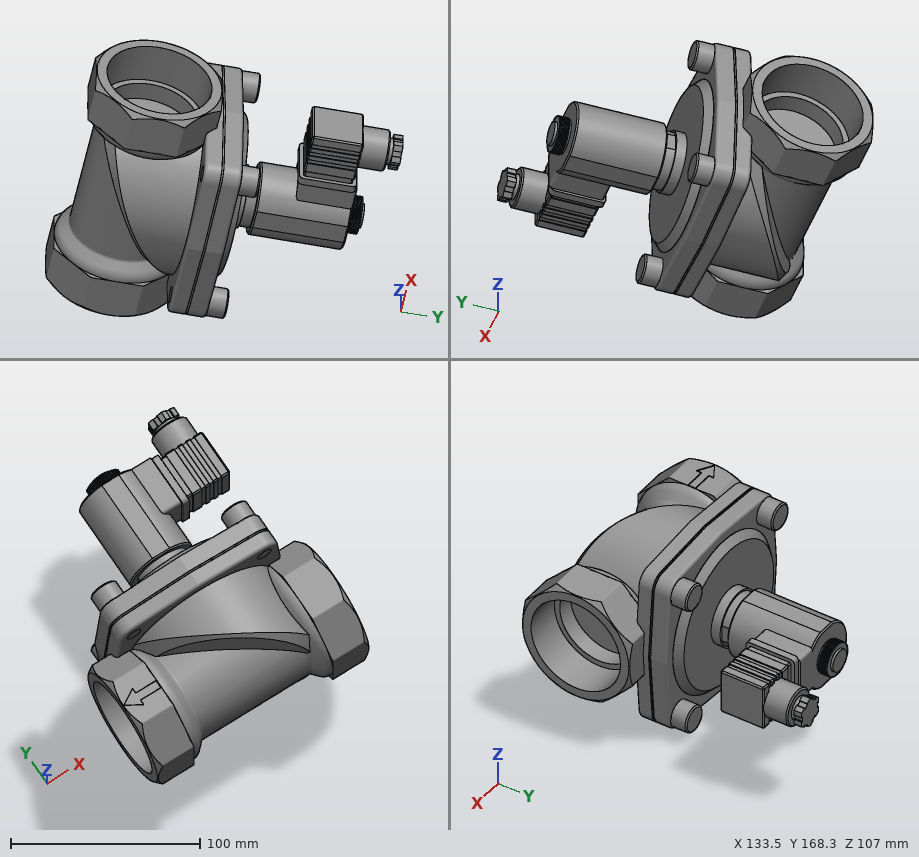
import cadquery as cq
import math

PIPE_LENGTH = 133.5
PIPE_DIAMETER = 55.2
OCTAGON_FLATS = 68.0
OCTAGON_SIDES = 8
OCTAGON_LENGTH = 22.9
OCTAGON_CORNER_RADIUS = 1.3
END_FACE_RADIUS = 33.7
END_CHAMFER = 5.0
SHOULDER_RADIUS = 7.0
HOLLOW_RADIUS = 1.7
DIAGONAL = math.sqrt(0.5)
THREAD_DIAMETER = 56.7
THREAD_DEPTH = 22.4
BORE_DIAMETER = 50.0
BORE_DEPTH = 32.7

ARROW_TIP_GAP = 0.7
ARROW_LENGTH = 21.9
ARROW_HEAD_LENGTH = 9.1
ARROW_HEAD_HALF = 5.4
ARROW_SHAFT_HALF = 2.4
ARROW_DEPTH = 0.5

CHAMBER_DIAMETER = 94.3
FLOOR_LEVEL = -2.9
FLOOR_ANGLE = 30.0
FLOOR_DIAMETER = 90.2

FLANGE_BOTTOM = 28.3
BODY_TOP = 37.4
COVER_BOTTOM = 38.4
COVER_TOP = 48.5
FLANGE_APEX = 53.5
FLANGE_CORNER = 49.5
FLANGE_CORNER_RADIUS = 9.3
FLANGE_EDGE_FILLET = 1.9
GASKET_INSET = 0.5

BOSS_DIAMETER = 94.3
BOSS_TOP = 52.9
BOSS_CHAMFER = 4.2
SCREW_OFFSET = 41.0
SCREW_DIAMETER = 8.5
HEAD_DIAMETER = 16.0
HEAD_TOP = 58.5
HEAD_CHAMFER = 0.8
COLLAR_DIAMETER = 34.0
COLLAR_TOP = 58.6
RING_DIAMETER = 31.8
RING_FLATS = 30.1

COIL_BOTTOM = 64.5
COIL_TOP = 115.2
COIL_DIAMETER = 38.9
COIL_FLATS = 37.4
COIL_CHAMFER = 0.8
SOCKET_END = 25.6
SOCKET_BOTTOM = 84.5
SOCKET_WIDTH = 27.8
SOCKET_FILLET = 1.9

NUT_DIAMETER = 20.2
NUT_ROOT_DIAMETER = 19.5
NUT_TEETH = 60
NUT_NECK_DIAMETER = 19.2
NUT_BOTTOM = 116.2
NUT_TOP = 121.7
STUB_DIAMETER = 13.1
STUB_TOP = 123.2

PLUG_LEVEL = 98.7
SEAL_END = 29.6
SEAL_SIZE = 30.8
SEAL_FILLET = 2.5
PLUG_NECK_END = 33.2
PLUG_NECK_SIZE = 26.3
PLUG_END = 56.5
PLUG_SIZE = 27.6
PLUG_EDGE = 0.8
GROOVE_START = 38.7
GROOVE_WIDTH = 2.5
GROOVE_PITCH = 5.0
GROOVE_COUNT = 3
GROOVE_DEPTH = 0.7

GLAND_X = 45.1
GLAND_DIAMETER = 22.2
GLAND_TOP = 127.1
GLAND_CHAMFER = 0.8
GLAND_NECK_DIAMETER = 14.1
CAP_BOTTOM = 129.5
CAP_TOP = 134.3
CAP_SIDES = 6
CAP_FLATS = 16.2
CAP_NOTCH_WIDTH = 2.9
CAP_NOTCH_DEPTH = 0.8


def level(height):
    """Workplane across Y at a height, with local axes X and Z; a negative extrusion goes up."""
    return cq.Workplane("XZ", origin=(0, height, 0))


def cylinder(diameter, bottom, top, x=0, z=0):
    return level(bottom).center(x, z).circle(diameter / 2).extrude(bottom - top)


def flatted_cylinder(diameter, bottom, top, flats_x, flats_z):
    block = level(bottom).rect(flats_x, flats_z).extrude(bottom - top)
    return cylinder(diameter, bottom, top).intersect(block)


def is_flange_corner(edge):
    """True for an upright edge at a corner, which lies off both the X axis and the Z axis."""
    halfway = FLANGE_CORNER / 2
    return abs(edge.Center().x) > halfway and abs(edge.Center().z) > halfway


def flange(bottom, top, inset=0):
    """Plate with four slightly peaked sides and rounded corners."""
    outline = [
        (FLANGE_APEX, 0),
        (FLANGE_CORNER, FLANGE_CORNER),
        (0, FLANGE_APEX),
        (-FLANGE_CORNER, FLANGE_CORNER),
        (-FLANGE_APEX, 0),
        (-FLANGE_CORNER, -FLANGE_CORNER),
        (0, -FLANGE_APEX),
        (FLANGE_CORNER, -FLANGE_CORNER),
    ]
    plate = level(bottom).polyline(outline).close().extrude(bottom - top)
    plate = plate.edges("|Y").filter(is_flange_corner).fillet(FLANGE_CORNER_RADIUS)
    if inset:
        rim = plate.faces("<Y").wires().val().offset2D(-inset)[0]
        plate = cq.Workplane(cq.Solid.extrudeLinear(rim, [], cq.Vector(0, top - bottom, 0)))
    return plate


def screw_places():
    return [(x, z) for x in (-SCREW_OFFSET, SCREW_OFFSET) for z in (-SCREW_OFFSET, SCREW_OFFSET)]



def octagon_end():
    """Octagonal pipe end at -X, chamfered all round at its outer face."""
    start = -PIPE_LENGTH / 2
    corner_diameter = OCTAGON_FLATS / math.cos(math.pi / OCTAGON_SIDES)
    octagon = (
        cq.Workplane("YZ", origin=(start, 0, 0))
        .polygon(OCTAGON_SIDES, corner_diameter)
        .extrude(OCTAGON_LENGTH)
        .rotate((0, 0, 0), (1, 0, 0), 180 / OCTAGON_SIDES)
        .edges("|X")
        .fillet(OCTAGON_CORNER_RADIUS)
    )
    envelope = (
        cq.Workplane("YZ", origin=(start, 0, 0))
        .circle(END_FACE_RADIUS + END_CHAMFER)
        .extrude(OCTAGON_LENGTH)
        .faces("<X")
        .chamfer(END_CHAMFER)
    )
    return octagon.intersect(envelope)


def pipe_half():
    """Half of the pipe: a round shoulder, a 45 degree cone, a small hollow rounding and the tube."""
    start = OCTAGON_LENGTH - PIPE_LENGTH / 2
    top = OCTAGON_FLATS / 2
    tube_radius = PIPE_DIAMETER / 2
    half_bend = math.radians(45) / 2
    cone_start = (start + SHOULDER_RADIUS * DIAGONAL, top - SHOULDER_RADIUS * (1 - DIAGONAL))
    shoulder_middle = (
        start + SHOULDER_RADIUS * math.sin(half_bend),
        top - SHOULDER_RADIUS * (1 - math.cos(half_bend)),
    )
    cone_end_radius = tube_radius + HOLLOW_RADIUS * (1 - DIAGONAL)
    cone_end = (cone_start[0] + cone_start[1] - cone_end_radius, cone_end_radius)
    tube_start = cone_end[0] + HOLLOW_RADIUS * DIAGONAL
    hollow_middle = (
        tube_start - HOLLOW_RADIUS * math.sin(half_bend),
        tube_radius + HOLLOW_RADIUS * (1 - math.cos(half_bend)),
    )
    return (
        cq.Workplane("XY")
        .moveTo(start, 0)
        .lineTo(start, top)
        .threePointArc(shoulder_middle, cone_start)
        .lineTo(*cone_end)
        .threePointArc(hollow_middle, (tube_start, tube_radius))
        .lineTo(0, tube_radius)
        .lineTo(0, 0)
        .close()
        .revolve(360, (0, 0), (1, 0))
    )


def chamber():
    """Upright cylinder closed by the sloping floor.

    Circles parallel to the floor grow in radius as fast as they rise along Y, which bevels the rim.
    """
    upright = cylinder(CHAMBER_DIAMETER, FLOOR_LEVEL - CHAMBER_DIAMETER, FLANGE_BOTTOM)
    tilt = math.radians(FLOOR_ANGLE)
    slope_normal = cq.Vector(math.sin(tilt), math.cos(tilt), 0)
    floor_rim, upper_rim = [
        cq.Wire.makeCircle(FLOOR_DIAMETER / 2 + step, cq.Vector(0, FLOOR_LEVEL + step, 0), slope_normal)
        for step in (0, CHAMBER_DIAMETER)
    ]
    bevel = cq.Solid.makeLoft([floor_rim, upper_rim], True)
    return upright.intersect(cq.Workplane(bevel))


def end_bore():
    """Thread bore and the narrower blind bore behind it at the -X end."""
    end_face = cq.Workplane("YZ", origin=(-PIPE_LENGTH / 2, 0, 0))
    thread = end_face.circle(THREAD_DIAMETER / 2).extrude(THREAD_DEPTH)
    return thread.union(end_face.circle(BORE_DIAMETER / 2).extrude(BORE_DEPTH))


def flow_arrow():
    tip = ARROW_TIP_GAP - PIPE_LENGTH / 2
    head_back = tip + ARROW_HEAD_LENGTH
    tail = tip + ARROW_LENGTH
    outline = [
        (tip, 0),
        (head_back, ARROW_HEAD_HALF),
        (head_back, ARROW_SHAFT_HALF),
        (tail, ARROW_SHAFT_HALF),
        (tail, -ARROW_SHAFT_HALF),
        (head_back, -ARROW_SHAFT_HALF),
        (head_back, -ARROW_HEAD_HALF),
    ]
    flat = cq.Workplane("XY", origin=(0, 0, OCTAGON_FLATS / 2))
    return flat.polyline(outline).close().extrude(-ARROW_DEPTH)


def make_valve_body():
    pipe_end = octagon_end().union(pipe_half())
    body = flange(FLANGE_BOTTOM, BODY_TOP).faces("<Y").edges().fillet(FLANGE_EDGE_FILLET)
    body = body.union(chamber()).union(pipe_end).union(pipe_end.mirror("YZ"))
    body = body.cut(end_bore()).cut(end_bore().mirror("YZ")).cut(flow_arrow())
    for x, z in screw_places():
        body = body.cut(cylinder(SCREW_DIAMETER, FLANGE_BOTTOM, BODY_TOP, x, z))
    return body



def screw(x, z):
    """Screw whose shank ends flush with the underside of the valve body flange."""
    head = cylinder(HEAD_DIAMETER, COVER_TOP, HEAD_TOP, x, z).faces(">Y").chamfer(HEAD_CHAMFER)
    return head.union(cylinder(SCREW_DIAMETER, FLANGE_BOTTOM, COVER_TOP, x, z))


def make_cover():
    """Cover with its gasket land, conical boss, screws and the collar that carries the coil."""
    cover = flange(COVER_BOTTOM, COVER_TOP).faces(">Y").edges().fillet(FLANGE_EDGE_FILLET)
    cover = cover.union(flange(BODY_TOP, COVER_BOTTOM, GASKET_INSET))
    cover = cover.union(cylinder(BOSS_DIAMETER, COVER_TOP, BOSS_TOP).faces(">Y").chamfer(BOSS_CHAMFER))
    cover = cover.union(cylinder(COLLAR_DIAMETER, BOSS_TOP, COLLAR_TOP))
    cover = cover.union(flatted_cylinder(RING_DIAMETER, COLLAR_TOP, COIL_BOTTOM, RING_FLATS, RING_DIAMETER))
    for x, z in screw_places():
        cover = cover.union(screw(x, z))
    return cover



def block(x_start, x_end, y_bottom, y_top, width):
    return cq.Workplane("XY").box(
        x_end - x_start, y_top - y_bottom, width, centered=(False, False, True)
    ).translate((x_start, y_bottom, 0))


def square_bar(x_start, x_end, size):
    return block(x_start, x_end, PLUG_LEVEL - size / 2, PLUG_LEVEL + size / 2, size)


def coil():
    """Drum with flats on +Z and -Z, and the socket block that carries the plug."""
    drum = cylinder(COIL_DIAMETER, COIL_BOTTOM, COIL_TOP).faces("<Y or >Y").chamfer(COIL_CHAMFER)
    flats = level(COIL_BOTTOM).rect(COIL_DIAMETER, COIL_FLATS).extrude(COIL_BOTTOM - COIL_TOP)
    drum = drum.intersect(flats.edges("|X").chamfer(COIL_CHAMFER))
    socket = block(0, SOCKET_END, SOCKET_BOTTOM, COIL_TOP, SOCKET_WIDTH)
    return drum.union(socket.edges("|X").fillet(SOCKET_FILLET))


def knurled_nut():
    outline = []
    for step in range(2 * NUT_TEETH):
        radius = (NUT_ROOT_DIAMETER if step % 2 else NUT_DIAMETER) / 2
        angle = math.pi * step / NUT_TEETH
        outline.append((radius * math.cos(angle), radius * math.sin(angle)))
    nut = level(NUT_BOTTOM).polyline(outline).close().extrude(NUT_BOTTOM - NUT_TOP)
    nut = nut.union(cylinder(NUT_NECK_DIAMETER, COIL_TOP, NUT_BOTTOM))
    return nut.union(cylinder(STUB_DIAMETER, NUT_TOP, STUB_TOP))


def plug():
    """Cable plug with a sealing flange, a neck and a grooved housing."""
    seal = square_bar(SOCKET_END, SEAL_END, SEAL_SIZE).edges("|X").fillet(SEAL_FILLET)
    neck = square_bar(SEAL_END, PLUG_NECK_END, PLUG_NECK_SIZE).edges("|X").chamfer(PLUG_EDGE)
    housing = square_bar(PLUG_NECK_END, PLUG_END, PLUG_SIZE)
    housing = housing.edges("|X").chamfer(PLUG_EDGE).faces(">X").chamfer(PLUG_EDGE)
    core_size = PLUG_SIZE - 2 * GROOVE_DEPTH
    for index in range(GROOVE_COUNT):
        start = GROOVE_START + index * GROOVE_PITCH
        end = start + GROOVE_WIDTH
        housing = housing.cut(square_bar(start, end, 2 * PLUG_SIZE).cut(square_bar(start, end, core_size)))
    return seal.union(neck).union(housing)


def gland():
    """Cable gland standing on the plug, topped by a hexagonal cap with a notch in each flat."""
    barrel = cylinder(GLAND_DIAMETER, PLUG_LEVEL, GLAND_TOP, GLAND_X).faces(">Y").chamfer(GLAND_CHAMFER)
    neck = cylinder(GLAND_NECK_DIAMETER, GLAND_TOP, CAP_BOTTOM, GLAND_X)
    corner_diameter = CAP_FLATS / math.cos(math.pi / CAP_SIDES)
    cap = level(CAP_BOTTOM).polygon(CAP_SIDES, corner_diameter).extrude(CAP_BOTTOM - CAP_TOP)
    cap = cap.rotate((0, 0, 0), (0, 1, 0), 180 / CAP_SIDES)
    flat = CAP_FLATS / 2
    notch = block(flat - CAP_NOTCH_DEPTH, flat + CAP_NOTCH_DEPTH, CAP_BOTTOM, CAP_TOP, CAP_NOTCH_WIDTH)
    for side in range(CAP_SIDES):
        cap = cap.cut(notch.rotate((0, 0, 0), (0, 1, 0), 360 / CAP_SIDES * side))
    return barrel.union(neck).union(cap.translate((GLAND_X, 0, 0)))


def make_solenoid():
    return coil().union(knurled_nut()).union(plug()).union(gland())


valve_body = make_valve_body()
cover = make_cover()
solenoid = make_solenoid()

result = cq.Compound.makeCompound([valve_body.val(), cover.val(), solenoid.val()])